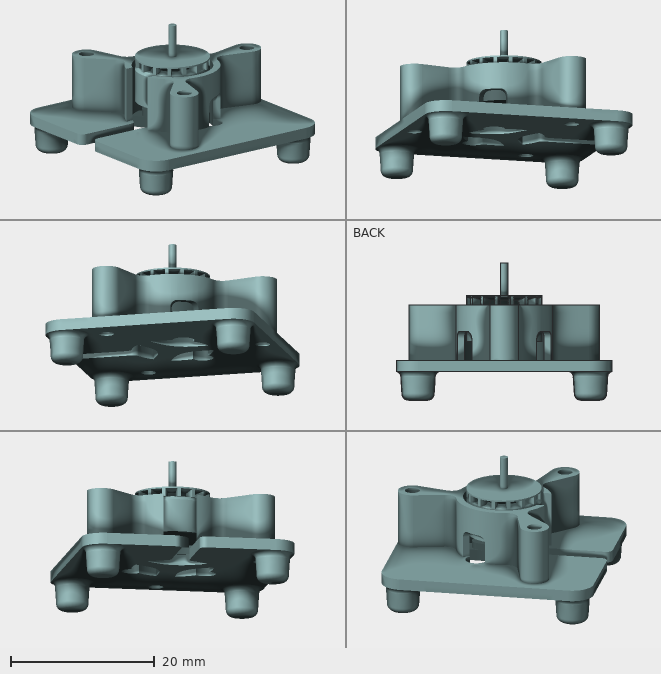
import cadquery as cq
import math

plate_bottom = 4.0
plate_top = 5.55
mount_top = 6.5
bell_bottom = 8.2
bracket_top = 13.25
bell_top = 14.55
shaft_top = 19.1

cut_overshoot = 0.3

plate_side = 30.0
plate_corner_radius = 3.0
slot_width = 2.52
slot_corner_radius = 0.95

foot_flare_radius = plate_corner_radius
foot_top_radius = 2.4
foot_bottom_radius = 2.25
foot_flare_height = 0.8
foot_bottom_rounding = 0.95

ring_inner_radius = 5.7
ring_outer_radius = 6.7
screw_boss_radius = 2.0
screw_hole_diameter = 2.1
screw_circle_radius = plate_side / 2 - screw_boss_radius
arm_neck_half_width = 0.85
arm_fillet_radius = 1.5
ring_gap_width = 4.85
arm_spacing = 120
arm_angles = [90, 90 + arm_spacing, 90 + 2 * arm_spacing]

wire_angles = [30, 150]
wire_hole_diameter = 3.05
wire_hole_distance = 5.9
window_inner_half_width = 1.6
window_flare_angle = 25.0
window_height = 4.0
window_corner_radius = 1.0

support_half_width = 1.3
support_fillet_radius = 4.8

lobe_radius = 1.2
lobe_distance = 3.33
flank_depth = 2.35

hub_diameter = 4.55
shaft_diameter = 1.1
bell_radius = 5.25
lid_rim_thickness = 0.2
vent_height = 1.1
vent_top = bell_top - lid_rim_thickness
vent_bottom = vent_top - vent_height
vent_count = 15
first_spoke_angle = -90
ceiling_drop = 0.42
spoke_width = 0.5
spoke_inner_radius = 3.65
spoke_chamfer = 0.4
lip_chamfer_width = 0.35
lip_chamfer_height = 0.48


def polar(radius, angle, offset=0.0):
    """Point at a distance along a ray from the axis, moved sideways (counterclockwise positive)."""
    a = math.radians(angle)
    return (
        radius * math.cos(a) - offset * math.sin(a),
        radius * math.sin(a) + offset * math.cos(a),
    )


def cylinder(radius, bottom, top, center=(0, 0)):
    return cq.Workplane("XY", origin=(*center, bottom)).circle(radius).extrude(top - bottom)


def motor_support():
    """Three parallel-sided arms joined by concave fillets, meeting under the motor."""
    half_spacing = math.radians(arm_spacing / 2)
    fillet_distance = (support_half_width + support_fillet_radius) / math.sin(half_spacing)
    straight_start = fillet_distance * math.cos(half_spacing)
    fillet_depth = fillet_distance - support_fillet_radius
    arm_reach = (ring_inner_radius + ring_outer_radius) / 2
    outline = cq.Workplane("XY", origin=(0, 0, plate_bottom))
    outline = outline.moveTo(*polar(straight_start, arm_angles[0], -support_half_width))
    for angle in arm_angles:
        outline = (
            outline.lineTo(*polar(arm_reach, angle, -support_half_width))
            .lineTo(*polar(arm_reach, angle, support_half_width))
            .lineTo(*polar(straight_start, angle, support_half_width))
            .threePointArc(
                polar(fillet_depth, angle + arm_spacing / 2),
                polar(straight_start, angle + arm_spacing, -support_half_width),
            )
        )
    return outline.close().extrude(plate_top - plate_bottom)


def plate():
    thickness = plate_top - plate_bottom
    body = (
        cq.Workplane("XY", origin=(0, 0, plate_bottom))
        .rect(plate_side, plate_side)
        .extrude(thickness)
        .edges("|Z")
        .fillet(plate_corner_radius)
    )
    opening = cylinder(ring_inner_radius, plate_bottom, plate_top)
    slot = (
        cq.Workplane("XY", origin=(0, -plate_side / 2, plate_bottom))
        .rect(slot_width, plate_side)
        .extrude(thickness)
    )
    body = body.cut(opening).cut(slot)
    slot_region = cq.selectors.BoxSelector(
        (-slot_width, -plate_side, plate_bottom),
        (slot_width, 0, plate_top),
    )
    body = body.edges(slot_region).edges("|Z").fillet(slot_corner_radius)
    for angle in wire_angles:
        center = polar(wire_hole_distance, angle)
        body = body.cut(cylinder(wire_hole_diameter / 2, plate_bottom, plate_top, center))
    return body.union(motor_support())


def foot(center):
    flare_bottom = plate_bottom - foot_flare_height
    flare_width = foot_flare_radius - foot_top_radius
    r = foot_bottom_rounding
    d = math.sin(math.radians(45))
    profile = (
        cq.Workplane("XZ")
        .moveTo(0, 0)
        .lineTo(foot_bottom_radius - r, 0)
        .threePointArc((foot_bottom_radius - r + r * d, r - r * d), (foot_bottom_radius, r))
        .lineTo(foot_top_radius, flare_bottom)
        .threePointArc(
            (foot_flare_radius - flare_width * d, plate_bottom - foot_flare_height * (1 - d)),
            (foot_flare_radius, plate_bottom),
        )
        .lineTo(0, plate_bottom)
        .close()
    )
    return profile.revolve(360, (0, 0, 0), (0, 1, 0)).translate((*center, 0))


def screw_arm(angle):
    """Tapered arm from the ring to a screw boss, with fillets against the ring."""
    fillet_distance = ring_outer_radius + arm_fillet_radius
    fillet_side = arm_neck_half_width + arm_fillet_radius
    fillet_along = math.sqrt(fillet_distance**2 - fillet_side**2)
    along = screw_circle_radius - fillet_along
    center_angle = math.atan2(fillet_side, -along)
    center_gap = math.hypot(along, fillet_side)
    normal = center_angle - math.acos((screw_boss_radius + arm_fillet_radius) / center_gap)
    boss_point = (
        screw_circle_radius + screw_boss_radius * math.cos(normal),
        screw_boss_radius * math.sin(normal),
    )
    fillet_start = (
        fillet_along - arm_fillet_radius * math.cos(normal),
        fillet_side - arm_fillet_radius * math.sin(normal),
    )
    scale = ring_outer_radius / fillet_distance
    ring_point = (fillet_along * scale, fillet_side * scale)
    ring_direction = math.atan2(fillet_side, fillet_along)
    middle_direction = (normal + ring_direction) / 2
    fillet_middle = (
        fillet_along - arm_fillet_radius * math.cos(middle_direction),
        fillet_side - arm_fillet_radius * math.sin(middle_direction),
    )

    def mirrored(point):
        return (point[0], -point[1])

    return (
        cq.Workplane("XY", origin=(0, 0, plate_top))
        .moveTo(*ring_point)
        .threePointArc(fillet_middle, fillet_start)
        .lineTo(*boss_point)
        .threePointArc((screw_circle_radius + screw_boss_radius, 0), mirrored(boss_point))
        .lineTo(*mirrored(fillet_start))
        .threePointArc(mirrored(fillet_middle), mirrored(ring_point))
        .close()
        .extrude(bracket_top - plate_top)
        .rotate((0, 0, 0), (0, 0, 1), angle)
    )


def wire_window(angle):
    """Flared opening at the foot of the ring, with a rounded top."""
    inner_distance = math.sqrt(ring_inner_radius**2 - window_inner_half_width**2)
    start = inner_distance - cut_overshoot
    end = ring_outer_radius + cut_overshoot
    slope = math.tan(math.radians(window_flare_angle))
    start_half = window_inner_half_width - cut_overshoot * slope
    end_half = window_inner_half_width + (end - inner_distance) * slope
    return (
        cq.Workplane("XY", origin=(0, 0, plate_top))
        .polyline([(start, -start_half), (end, -end_half), (end, end_half), (start, start_half)])
        .close()
        .extrude(window_height)
        .faces(">Z")
        .edges("not |Y")
        .fillet(window_corner_radius)
        .rotate((0, 0, 0), (0, 0, 1), angle)
    )


def bracket():
    height = bracket_top - plate_top
    body = cylinder(ring_outer_radius, plate_top, bracket_top)
    for angle in arm_angles:
        body = body.union(screw_arm(angle))
    body = body.cut(cylinder(ring_inner_radius, plate_top, bracket_top))
    gap = (
        cq.Workplane("XY", origin=(0, -ring_outer_radius, plate_top))
        .rect(ring_gap_width, ring_outer_radius)
        .extrude(height)
    )
    body = body.cut(gap)
    for angle in wire_angles:
        body = body.cut(wire_window(angle))
    return body


def make_frame():
    body = plate().union(bracket())
    reach = plate_side / 2 - plate_corner_radius
    for x in (-reach, reach):
        for y in (-reach, reach):
            body = body.union(foot((x, y)))
    for angle in arm_angles:
        center = polar(screw_circle_radius, angle)
        body = body.cut(cylinder(screw_hole_diameter / 2, plate_bottom, bracket_top, center))
    return body


def mount_base():
    """Plate with three lobes, each tangent to the concave flanks beside it."""
    half_spacing = math.radians(arm_spacing / 2)
    across = lobe_distance * math.sin(half_spacing)
    drop = flank_depth - lobe_distance * math.cos(half_spacing)
    flank_radius = (across**2 + drop**2 - lobe_radius**2) / (2 * (lobe_radius - drop))
    to_flank = math.atan2(across, flank_radius + drop)
    tangent_turn = half_spacing + to_flank
    tangent_along = lobe_distance + lobe_radius * math.cos(tangent_turn)
    tangent_side = lobe_radius * math.sin(tangent_turn)
    outline = cq.Workplane("XY", origin=(0, 0, plate_top))
    outline = outline.moveTo(*polar(tangent_along, arm_angles[0], -tangent_side))
    for angle in arm_angles:
        outline = outline.threePointArc(
            polar(lobe_distance + lobe_radius, angle),
            polar(tangent_along, angle, tangent_side),
        ).threePointArc(
            polar(flank_depth, angle + arm_spacing / 2),
            polar(tangent_along, angle + arm_spacing, -tangent_side),
        )
    return outline.close().extrude(mount_top - plate_top)


def make_mount():
    body = mount_base().union(cylinder(hub_diameter / 2, mount_top, bell_bottom))
    return body.cut(cylinder(shaft_diameter / 2, plate_top, bell_bottom))


def bell_spoke(angle):
    """Upright rib between two vents, with its lower inner corner cut away."""
    return (
        cq.Workplane("XZ", origin=(0, spoke_width / 2, 0))
        .moveTo(bell_radius, vent_bottom)
        .lineTo(spoke_inner_radius + spoke_chamfer, vent_bottom)
        .lineTo(spoke_inner_radius, vent_bottom + spoke_chamfer)
        .lineTo(spoke_inner_radius, vent_top)
        .lineTo(bell_radius, vent_top)
        .close()
        .extrude(spoke_width)
        .rotate((0, 0, 0), (0, 0, 1), angle)
    )


def vent_groove():
    """Ring-shaped space under the lid, with a sloping ceiling and a chamfered outer lip."""
    ceiling_low = vent_top - ceiling_drop
    core_top_radius = spoke_inner_radius
    core_bottom_radius = core_top_radius - (ceiling_low - vent_bottom)
    lip_bottom = vent_bottom - lip_chamfer_height
    outside = bell_radius + cut_overshoot
    return (
        cq.Workplane("XZ")
        .moveTo(outside, vent_top)
        .lineTo(bell_radius, vent_top)
        .lineTo(core_top_radius, ceiling_low)
        .lineTo(core_bottom_radius, vent_bottom)
        .lineTo(bell_radius - lip_chamfer_width, vent_bottom)
        .lineTo(bell_radius, lip_bottom)
        .lineTo(outside, lip_bottom)
        .close()
        .revolve(360, (0, 0, 0), (0, 1, 0))
    )


def make_bell():
    groove = vent_groove()
    for i in range(vent_count):
        groove = groove.cut(bell_spoke(first_spoke_angle + i * 360 / vent_count))
    body = cylinder(bell_radius, bell_bottom, bell_top).cut(groove)
    return body.cut(cylinder(shaft_diameter / 2, bell_bottom, bell_top))


def make_shaft():
    return cylinder(shaft_diameter / 2, plate_top, shaft_top)


frame = make_frame()
mount = make_mount()
bell = make_bell()
shaft = make_shaft()
result = cq.Compound.makeCompound([frame.val(), mount.val(), bell.val(), shaft.val()])